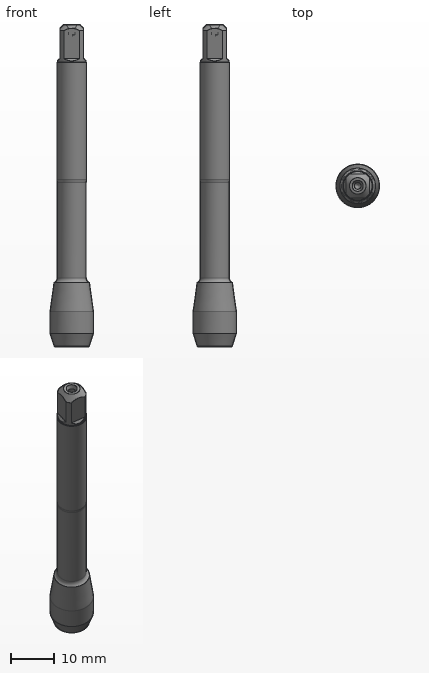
import cadquery as cq
import math

LENGTH = 75.0
TIP_CHAMFER_Z = 0.3
LEAD_END_Z = 3.2
TAPER_START_Z = 8.25
HEAD_TOP_Z = 15.0
NECK_START_Z = 16.1
NECK_END_Z = 38.25
SHANK_START_Z = 38.9
SHANK_END_Z = 66.15
FLAT_START_Z = 67.1

HEAD_DIAMETER = 10.1
HEAD_END_DIAMETER = 8.25
NECK_DIAMETER = 6.75
SHANK_DIAMETER = 7.0
DRIVE_DIAMETER = 6.7
DRIVE_TIP_DIAMETER = 3.8

SQUARE_WIDTH = 5.55

PILOT_DIAMETER = 1.6
COUNTERSINK_DIAMETER = 2.55
COUNTERSINK_ANGLE = 60.0
PILOT_DEPTH = 2.25
DRILL_TIP_ANGLE = 120.0

head_end_radius = HEAD_END_DIAMETER / 2
neck_radius = NECK_DIAMETER / 2
shank_radius = SHANK_DIAMETER / 2
drive_radius = DRIVE_DIAMETER / 2
drive_tip_radius = DRIVE_TIP_DIAMETER / 2


def revolve_about_z(profile):
    """Turn a closed XZ half-profile about the Z axis."""
    return profile.close().revolve(360, (0, 0, 0), (0, 1, 0))


def make_head():
    """Solid head with a tapered lead, a full-diameter band and a tapered back."""
    head_radius = HEAD_DIAMETER / 2
    profile = (
        cq.Workplane("XZ")
        .moveTo(0, 0)
        .lineTo(head_end_radius - TIP_CHAMFER_Z, 0)
        .lineTo(head_end_radius, TIP_CHAMFER_Z)
        .lineTo(head_radius, LEAD_END_Z)
        .lineTo(head_radius, TAPER_START_Z)
        .lineTo(head_end_radius, HEAD_TOP_Z)
        .lineTo(0, HEAD_TOP_Z)
    )
    return revolve_about_z(profile)


def make_turned_shank():
    """Neck flared onto the head, thicker shank, and a round drive end with a 45 degree chamfer."""
    flare_height = NECK_START_Z - HEAD_TOP_Z
    flare_width = head_end_radius - neck_radius
    flare_radius = (flare_height**2 + flare_width**2) / (2 * flare_width)
    half_sweep = math.asin(flare_height / flare_radius) / 2
    flare_middle = (
        neck_radius + flare_radius * (1 - math.cos(half_sweep)),
        NECK_START_Z - flare_radius * math.sin(half_sweep),
    )
    profile = (
        cq.Workplane("XZ")
        .moveTo(0, HEAD_TOP_Z)
        .lineTo(head_end_radius, HEAD_TOP_Z)
        .threePointArc(flare_middle, (neck_radius, NECK_START_Z))
        .lineTo(neck_radius, NECK_END_Z)
        .lineTo(shank_radius, SHANK_START_Z)
        .lineTo(shank_radius, SHANK_END_Z)
        .lineTo(drive_radius, SHANK_END_Z + shank_radius - drive_radius)
        .lineTo(drive_radius, LENGTH - (drive_radius - drive_tip_radius))
        .lineTo(drive_tip_radius, LENGTH)
        .lineTo(0, LENGTH)
    )
    return revolve_about_z(profile)


def make_flat_cutter():
    """Tool that mills the +X drive flat, with a 45 degree ramp at its lower end."""
    flat_x = SQUARE_WIDTH / 2
    outer_x = SHANK_DIAMETER
    return (
        cq.Workplane("XZ")
        .moveTo(flat_x, FLAT_START_Z)
        .lineTo(outer_x, FLAT_START_Z - (outer_x - flat_x))
        .lineTo(outer_x, LENGTH)
        .lineTo(flat_x, LENGTH)
        .close()
        .extrude(SHANK_DIAMETER / 2, both=True)
    )


def make_center_hole():
    """Countersunk pilot hole with a conical bottom."""
    pilot_radius = PILOT_DIAMETER / 2
    countersink_radius = COUNTERSINK_DIAMETER / 2
    countersink_depth = (countersink_radius - pilot_radius) / math.tan(math.radians(COUNTERSINK_ANGLE / 2))
    tip_depth = pilot_radius / math.tan(math.radians(DRILL_TIP_ANGLE / 2))
    profile = (
        cq.Workplane("XZ")
        .moveTo(0, LENGTH)
        .lineTo(countersink_radius, LENGTH)
        .lineTo(pilot_radius, LENGTH - countersink_depth)
        .lineTo(pilot_radius, LENGTH - PILOT_DEPTH)
        .lineTo(0, LENGTH - PILOT_DEPTH - tip_depth)
    )
    return revolve_about_z(profile)


def make_shank():
    """Turned shank with a milled square drive and a center hole."""
    body = make_turned_shank()
    flat_cutter = make_flat_cutter()
    for angle in (0, 90, 180, 270):
        body = body.cut(flat_cutter.rotate((0, 0, 0), (0, 0, 1), angle))
    return body.cut(make_center_hole())


head = make_head()
shank = make_shank()

result = cq.Compound.makeCompound([head.val(), shank.val()])